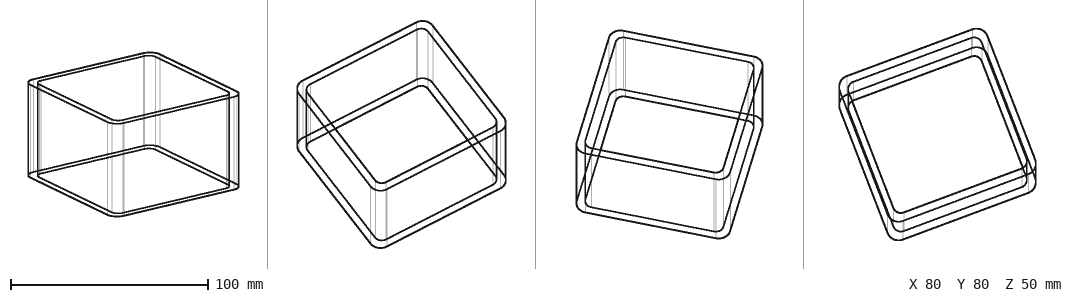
import cadquery as cq

side = 80.0
height = 50.0
wall = 4.0
outer_radius = 6.0
inner_radius = 4.0


def rounded_block(width, corner_radius):
    """Square block standing on Z = 0 with rounded vertical edges."""
    block = cq.Workplane("XY").rect(width, width).extrude(height)
    return block.edges("|Z").fillet(corner_radius)


outer_body = rounded_block(side, outer_radius)
bore = rounded_block(side - 2 * wall, inner_radius)

result = outer_body.cut(bore)